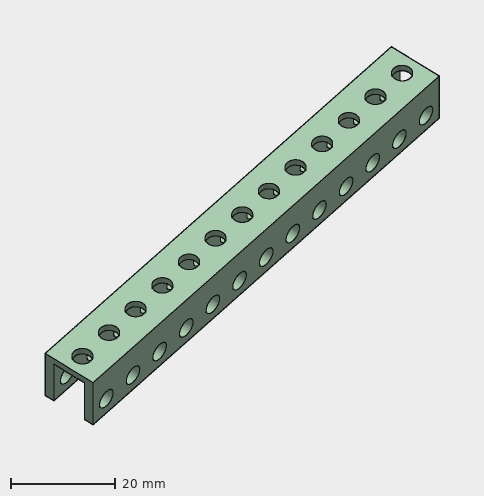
import cadquery as cq

length = 104.0
width = 12.0
height = 12.0
side_wall = 2.2
top_wall = 1.6

hole_count = 13
hole_diameter = 4.1
hole_pitch = length / hole_count
side_hole_height = 4.1


def make_channel():
    """U-channel along Y, open at the bottom and both ends, resting on Z = 0."""
    block = cq.Workplane("XY").box(width, length, height, centered=(True, True, False))
    cavity = cq.Workplane("XY").box(
        width - 2 * side_wall, length, height - top_wall, centered=(True, True, False)
    )
    return block.cut(cavity)


def top_holes():
    """Row of vertical holes along the middle of the top wall."""
    return (
        cq.Workplane("XY")
        .rarray(1, hole_pitch, 1, hole_count)
        .circle(hole_diameter / 2)
        .extrude(height)
    )


def side_holes():
    """Row of crosswise holes through both legs."""
    return (
        cq.Workplane("YZ")
        .center(0, side_hole_height)
        .rarray(hole_pitch, 1, hole_count, 1)
        .circle(hole_diameter / 2)
        .extrude(width / 2, both=True)
    )


result = make_channel().cut(top_holes()).cut(side_holes())